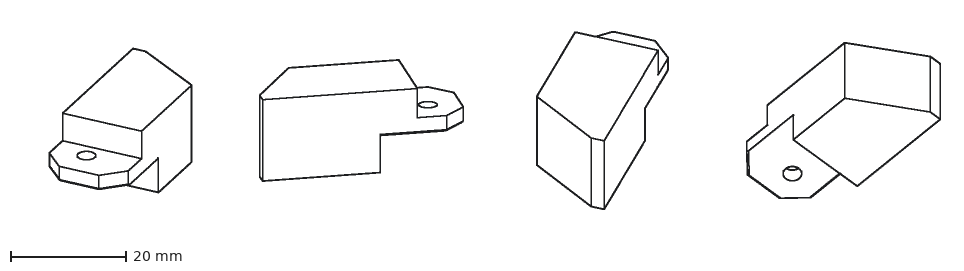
import cadquery as cq

width = 15.35
length = 36.5
height = 15.0
slant_flat = 2.4
slant_depth = 7.95

top_step = 8.98
bottom_step = 15.55
tongue_top = 9.65
tongue_bottom = 6.7
corner_cut = 3.8
edge_chamfer = 0.33

hole_diameter = 3.2
hole_x = 6.25
hole_y = 5.77


def make_body():
    """Block with a slanted back end, standing behind the lower step."""
    return (
        cq.Workplane("XY")
        .moveTo(0, bottom_step)
        .lineTo(width, bottom_step)
        .lineTo(width, length - slant_depth)
        .lineTo(slant_flat, length)
        .lineTo(0, length)
        .close()
        .extrude(height)
    )


def make_overhang():
    """Upper part of the block that reaches forward over the tongue."""
    return cq.Workplane("XY").box(
        width, bottom_step - top_step, height - tongue_top, centered=False
    ).translate((0, top_step, tongue_top))


def make_tongue():
    """Plate with two cut front corners and lower edges bevelled except on +X."""
    plate = (
        cq.Workplane("XY", origin=(0, 0, tongue_bottom))
        .moveTo(corner_cut, 0)
        .lineTo(width - corner_cut, 0)
        .lineTo(width, corner_cut)
        .lineTo(width, bottom_step)
        .lineTo(0, bottom_step)
        .lineTo(0, corner_cut)
        .close()
        .extrude(tongue_top - tongue_bottom)
    )
    return plate.faces("<Z").edges().edges("not(>Y or >X)").chamfer(edge_chamfer)


def make_hole():
    """Vertical cylinder that pierces the tongue."""
    return (
        cq.Workplane("XY", origin=(hole_x, hole_y, 0))
        .circle(hole_diameter / 2)
        .extrude(height)
    )


result = make_body().union(make_overhang()).union(make_tongue()).cut(make_hole())